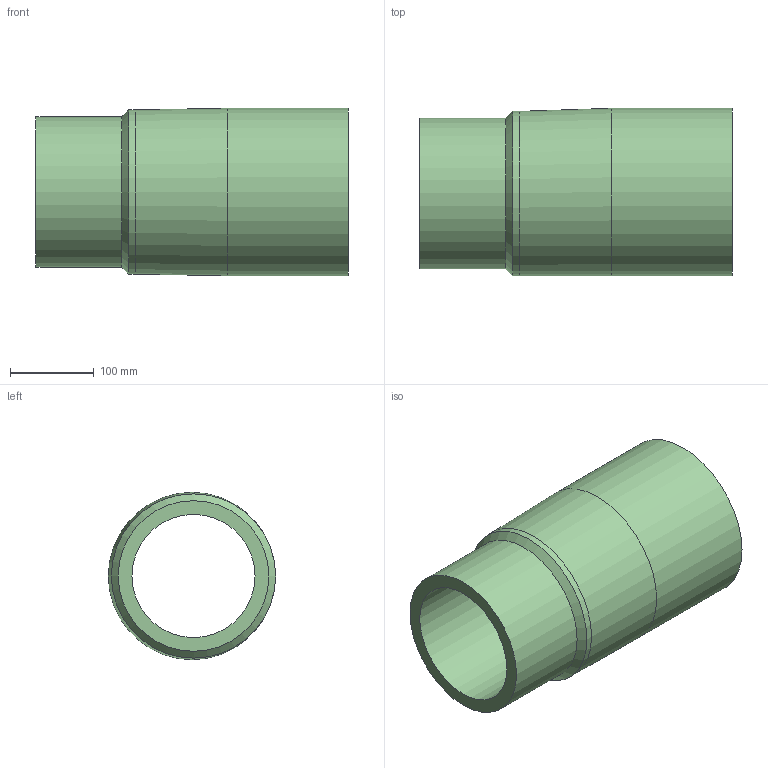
import cadquery as cq

large_diameter = 200.0
large_length = 144.3
small_diameter = 180.0
small_wall = 16.4
small_length = 102.5

shoulder_length = small_wall / 2
collar_diameter = small_diameter + 2 * shoulder_length
collar_cylinder_length = 8.0
transition_length = 110.0

large_axis_y = 0.0
small_axis_y = large_axis_y - (large_diameter - collar_diameter) / 2

bore_diameter = small_diameter - 2 * small_wall

shoulder_start = small_length
collar_start = shoulder_start + shoulder_length
transition_start = collar_start + collar_cylinder_length
large_start = transition_start + transition_length
total_length = large_start + large_length


def section_at(x, axis_y):
    """Workplane normal to X, centred on the pipe axis at the given Y."""
    return cq.Workplane("YZ", origin=(x, axis_y, 0))


def cylinder(x, axis_y, diameter, length):
    """Solid cylinder starting at x and running along +X."""
    return section_at(x, axis_y).circle(diameter / 2).extrude(length)


def taper(x, length, start_diameter, start_axis_y, end_diameter, end_axis_y):
    """Straight-sided body between two circles whose axes may be offset in Y."""
    return (
        section_at(x, start_axis_y)
        .circle(start_diameter / 2)
        .workplane(offset=length)
        .center(end_axis_y - start_axis_y, 0)
        .circle(end_diameter / 2)
        .loft(ruled=True, combine=True)
    )


small_spigot = cylinder(0, small_axis_y, small_diameter, small_length)
shoulder = taper(
    shoulder_start, shoulder_length, small_diameter, small_axis_y, collar_diameter, small_axis_y
)
collar = cylinder(collar_start, small_axis_y, collar_diameter, collar_cylinder_length)
transition = taper(
    transition_start, transition_length, collar_diameter, small_axis_y, large_diameter, large_axis_y
)
large_spigot = cylinder(large_start, large_axis_y, large_diameter, large_length)

bore = cylinder(0, small_axis_y, bore_diameter, total_length)

outer_body = small_spigot.union(shoulder).union(collar).union(transition).union(large_spigot)
result = outer_body.cut(bore)